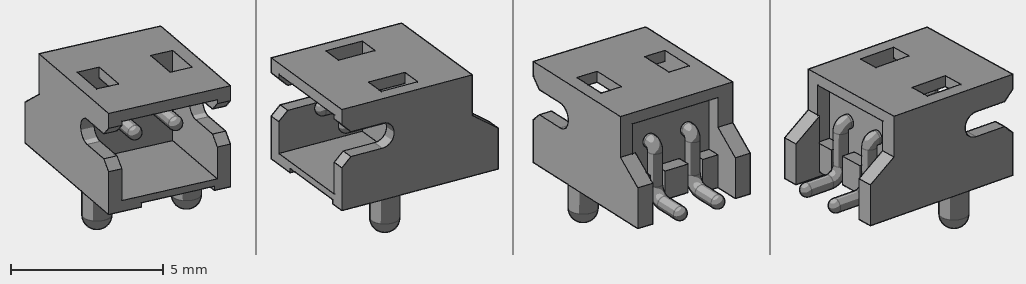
import cadquery as cq
import math

total_length = 6.5
width = 4.5
height = 3.7
back_face = 1.5
wing_end = 0.51
wing_width = 0.6
wing_low = 1.495
wing_high = 2.21
roof = 0.4
roof_underside = height - roof

cavity_side = 1.76
cavity_start = 3.3
cavity_floor = roof

recess_depth = 0.5
recess_floor = back_face + recess_depth
recess_base = 1.2
wing_inner = width / 2 - wing_width
pin_slot_width = 0.58

channel_height = 0.155
channel_edge = -1.035

window_length = 1.4
window_width = 0.81

slot_radius = 0.455
slot_end = 4.5
slot_axis = 2.345
flare_start = 6.155
flare_low = 1.565
flare_high = 3.15

pin_radius = 0.25
pin_pitch = 1.5
pin_rows = (-pin_pitch / 2, pin_pitch / 2)
pin_height = 2.21
pin_tip = 5.695
pin_upright = 1.665
lower_bend = 2 * pin_radius
upper_bend = 0.255

peg_radius = 0.5
peg_x = 4.5
peg_length = 5.2 - height


def box(x0, x1, y0, y1, z0, z1):
    """Box between two opposite corners."""
    return cq.Workplane("XY").box(x1 - x0, y1 - y0, z1 - z0, centered=False).translate((x0, y0, z0))


def make_shell():
    """Side profile of the housing, with the wings left solid across the width."""
    return (
        cq.Workplane("XZ")
        .moveTo(wing_end, 0)
        .lineTo(total_length, 0)
        .lineTo(total_length, height)
        .lineTo(back_face, height)
        .lineTo(back_face, wing_high)
        .lineTo(wing_end, wing_low)
        .close()
        .extrude(width / 2, both=True)
    )


def make_side_slot():
    """Round-ended slot through both side walls, flared at its mouth."""
    center_x = slot_end + slot_radius
    return (
        cq.Workplane("XZ")
        .moveTo(center_x, slot_axis - slot_radius)
        .lineTo(flare_start, slot_axis - slot_radius)
        .lineTo(total_length, flare_low)
        .lineTo(total_length, flare_high)
        .lineTo(flare_start, slot_axis + slot_radius)
        .lineTo(center_x, slot_axis + slot_radius)
        .threePointArc((slot_end, slot_axis), (center_x, slot_axis - slot_radius))
        .close()
        .extrude(width, both=True)
    )


def make_housing():
    housing = make_shell()
    housing = housing.cut(box(wing_end, back_face, -wing_inner, wing_inner, 0, height))
    housing = housing.cut(
        box(back_face, recess_floor, -wing_inner, cavity_side, recess_base, roof_underside)
    )
    for y in pin_rows:
        half = pin_slot_width / 2
        housing = housing.cut(box(back_face, recess_floor, y - half, y + half, 0, recess_base))
    housing = housing.cut(box(wing_end, total_length, channel_edge, wing_inner, 0, channel_height))
    housing = housing.cut(
        box(cavity_start, total_length, -cavity_side, cavity_side, cavity_floor, roof_underside)
    )
    for y in (-cavity_side, cavity_side - window_width):
        window = box(cavity_start, cavity_start + window_length, y, y + window_width, roof_underside, height)
        housing = housing.cut(window)
    return housing.cut(make_side_slot())


def make_pin(y):
    """Round pin bent down behind the housing and then out toward -X, with domed ends."""
    low = pin_radius
    diagonal = math.sqrt(0.5)
    upper_x = pin_upright + upper_bend
    upper_z = pin_height - upper_bend
    lower_x = pin_upright - lower_bend
    lower_z = low + lower_bend
    path = (
        cq.Workplane("XZ", origin=(0, y, 0))
        .moveTo(pin_radius, low)
        .lineTo(lower_x, low)
        .threePointArc(
            (lower_x + lower_bend * diagonal, lower_z - lower_bend * diagonal),
            (pin_upright, lower_z),
        )
        .lineTo(pin_upright, upper_z)
        .threePointArc(
            (upper_x - upper_bend * diagonal, upper_z + upper_bend * diagonal),
            (upper_x, pin_height),
        )
        .lineTo(pin_tip - pin_radius, pin_height)
    )
    pin = cq.Workplane("YZ", origin=(pin_radius, y, low)).circle(pin_radius).sweep(path)
    for x, z in ((pin_radius, low), (pin_tip - pin_radius, pin_height)):
        pin = pin.union(cq.Workplane("XY").sphere(pin_radius).translate((x, y, z)))
    return pin


def make_peg(y):
    """Peg hanging below the housing, with a hemispherical end."""
    straight = peg_length - peg_radius
    peg = cq.Workplane("XY", origin=(peg_x, y, 0)).circle(peg_radius).extrude(-straight)
    return peg.union(cq.Workplane("XY").sphere(peg_radius).translate((peg_x, y, -straight)))


result = make_housing()
for row in pin_rows:
    result = result.union(make_pin(row))
for peg_y in (-wing_inner, wing_inner):
    result = result.union(make_peg(peg_y))